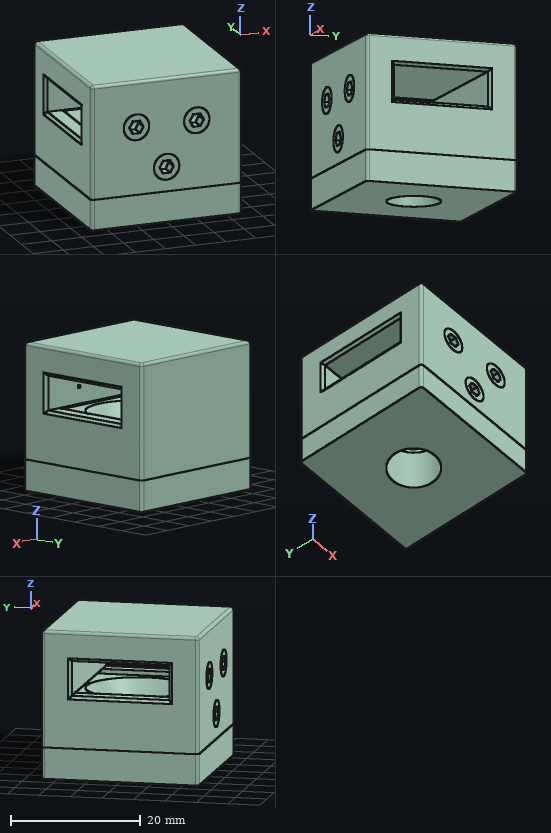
import cadquery as cq
import math

side = 25.0
total_height = 23.5
base_height = 5.0
edge_radius = 0.5

channel_width = 15.5
channel_bottom = 13.25
channel_height = 5.5
channel_middle = channel_bottom + channel_height / 2
channel_chamfer = 0.5

boss_side = 19.0
boss_gap = 0.75
boss_top = channel_bottom - boss_gap
boss_height = boss_top - base_height
cavity_height = channel_bottom - base_height

funnel_radius = 8.12
bore_radius = 4.25
funnel_bottom = 7.75

screw_radius = 2.1
screw_length = 5.0
point_angle = 90.0
socket_sides = 6
socket_flats = 2.0
socket_depth = 2.0
socket_drill_angle = 120.0
upper_screw_x = 5.0
upper_screw_z = channel_middle
lower_screw_z = 9.0
screw_places = [
    (-upper_screw_x, upper_screw_z),
    (upper_screw_x, upper_screw_z),
    (0.0, lower_screw_z),
]


def cone_height(radius, full_angle):
    """Height of a cone from its base radius and its full apex angle in degrees."""
    return radius / math.tan(math.radians(full_angle / 2))


def at_screw_place(shape, place):
    """Move a shape drawn along +Y from the origin to a screw place on the -Y face."""
    x, z = place
    return shape.translate((x, -side / 2, z))


def make_screw_envelope():
    """Outside of a set screw: a cylinder with a cone point, along +Y from the origin."""
    shank_length = screw_length - cone_height(screw_radius, point_angle)
    return (
        cq.Workplane("XY")
        .polyline([(0, 0), (screw_radius, 0), (screw_radius, shank_length), (0, screw_length)])
        .close()
        .revolve(360, (0, 0, 0), (0, 1, 0))
    )


def make_screw():
    """Set screw with a hexagon socket that ends in a drill cone."""
    corner_radius = socket_flats / 2 / math.cos(math.pi / socket_sides)
    socket_end = socket_depth + cone_height(corner_radius, socket_drill_angle)
    hexagon = cq.Workplane("XZ").polygon(socket_sides, 2 * corner_radius).extrude(-socket_end)
    drill = (
        cq.Workplane("XY")
        .polyline([(0, 0), (corner_radius, 0), (corner_radius, socket_depth), (0, socket_end)])
        .close()
        .revolve(360, (0, 0, 0), (0, 1, 0))
    )
    return make_screw_envelope().cut(hexagon.intersect(drill))


def cut_screw_holes(body):
    """Cut the matching holes for all the set screws."""
    for place in screw_places:
        body = body.cut(at_screw_place(make_screw_envelope(), place))
    return body


def make_channel():
    """Rectangular channel along X, chamfered where it opens in the side faces."""
    channel = cq.Workplane("YZ", origin=(0, 0, channel_middle)).rect(channel_width, channel_height)
    channel = channel.extrude(side / 2, both=True)
    for direction in (-1, 1):
        mouth = (
            cq.Workplane("YZ", origin=(direction * side / 2, 0, channel_middle))
            .rect(channel_width + 2 * channel_chamfer, channel_height + 2 * channel_chamfer)
            .workplane(offset=-direction * channel_chamfer)
            .rect(channel_width, channel_height)
            .loft()
        )
        channel = channel.union(mouth)
    return channel


def make_square_block(height):
    """Block with the boss outline, standing on the top face of the base plate."""
    return cq.Workplane("XY", origin=(0, 0, base_height)).rect(boss_side, boss_side).extrude(height)


def make_housing():
    """Rounded cover with a cavity for the boss, the channel and the screw holes."""
    housing = (
        cq.Workplane("XY", origin=(0, 0, base_height))
        .box(side, side, total_height - base_height, centered=(True, True, False))
        .edges("|Z or >Z")
        .fillet(edge_radius)
    )
    cavity = make_square_block(cavity_height)
    return cut_screw_holes(housing.cut(cavity).cut(make_channel()))


def make_base():
    """Base plate with a boss that stands in the cavity, a funnel and a bore."""
    plate = (
        cq.Workplane("XY")
        .box(side, side, base_height, centered=(True, True, False))
        .edges("|Z")
        .fillet(edge_radius)
    )
    boss = make_square_block(boss_height)
    funnel = (
        cq.Workplane("XZ")
        .moveTo(0, 0)
        .lineTo(bore_radius, 0)
        .lineTo(bore_radius, funnel_bottom)
        .lineTo(funnel_radius, boss_top)
        .lineTo(0, boss_top)
        .close()
        .revolve(360, (0, 0, 0), (0, 1, 0))
    )
    return cut_screw_holes(plate.union(boss).cut(funnel))


housing = make_housing()
base = make_base()
screws = [at_screw_place(make_screw(), place) for place in screw_places]

result = cq.Compound.makeCompound([housing.val(), base.val(), *[screw.val() for screw in screws]])